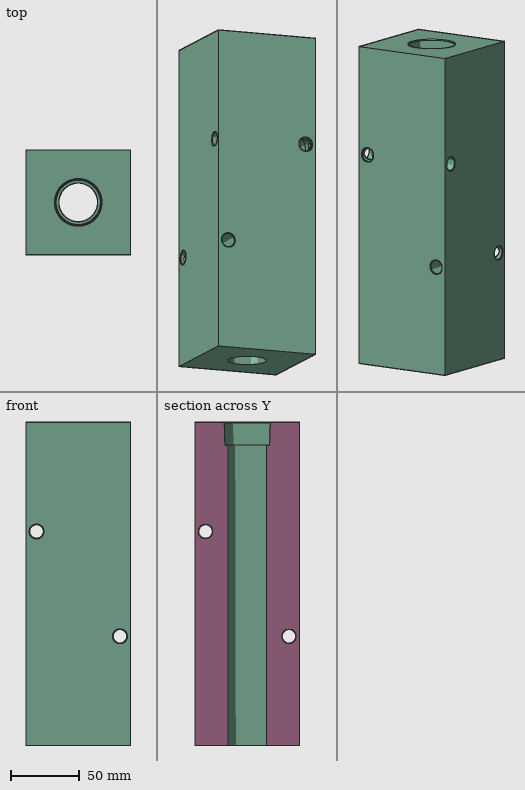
import cadquery as cq

side = 76.1
height = 235.0

bore_diameter = 28.0
counterbore_floor_diameter = 32.2
counterbore_depth = 16.7
counterbore_taper = 1 / 16
mouth_chamfer = 0.7

cross_hole_diameter = 9.9
cross_hole_chamfer = 0.5
cross_hole_edge_distance = 7.8
cross_hole_offset = side / 2 - cross_hole_edge_distance
cross_hole_level = side / 2


def stepped_bore():
    """Through bore with a wider, tapered and chamfered mouth at the top face."""
    bore_radius = bore_diameter / 2
    floor_radius = counterbore_floor_diameter / 2
    taper_radius = floor_radius + counterbore_taper * (counterbore_depth - mouth_chamfer) / 2
    mouth_radius = taper_radius + mouth_chamfer
    top = height / 2
    shoulder = top - counterbore_depth
    half_profile = (
        cq.Workplane("XZ")
        .moveTo(0, -top)
        .lineTo(bore_radius, -top)
        .lineTo(bore_radius, shoulder)
        .lineTo(floor_radius, shoulder)
        .lineTo(taper_radius, top - mouth_chamfer)
        .lineTo(mouth_radius, top)
        .lineTo(0, top)
        .close()
    )
    return half_profile.revolve(360, (0, 0, 0), (0, 1, 0))


def cross_hole_cutter():
    """Hole-shaped solid along Z, flared at both ends to chamfer the rims."""
    hole_radius = cross_hole_diameter / 2
    rim_radius = hole_radius + cross_hole_chamfer
    face = side / 2
    half_profile = (
        cq.Workplane("XZ")
        .moveTo(0, -face)
        .lineTo(rim_radius, -face)
        .lineTo(hole_radius, -face + cross_hole_chamfer)
        .lineTo(hole_radius, face - cross_hole_chamfer)
        .lineTo(rim_radius, face)
        .lineTo(0, face)
        .close()
    )
    return half_profile.revolve(360, (0, 0, 0), (0, 1, 0)).val()


def cross_hole_pair(plane, upper_hole_offset):
    """Two through holes on diagonally opposite spots of a vertical plane."""
    centers = [
        (upper_hole_offset, cross_hole_level),
        (-upper_hole_offset, -cross_hole_level),
    ]
    cutter = cross_hole_cutter()
    return cq.Workplane(plane).pushPoints(centers).eachpoint(cutter, useLocalCoordinates=True)


block = cq.Workplane("XY").box(side, side, height)
holes_along_y = cross_hole_pair("XZ", -cross_hole_offset)
holes_along_x = cross_hole_pair("YZ", cross_hole_offset)

result = block.cut(stepped_bore()).cut(holes_along_y).cut(holes_along_x)